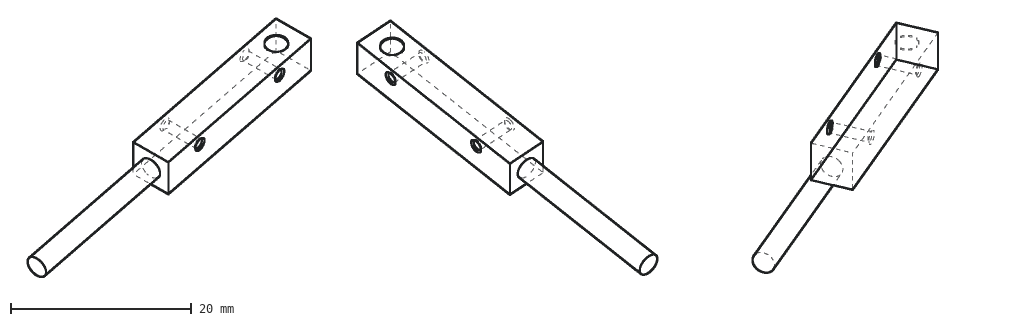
import cadquery as cq

total_length = 45.0
body_side = 5.0
body_length = 25.0
cable_diameter = 2.65

recess_diameter = 2.65
recess_depth = 0.2
recess_from_end = 3.0

hole_diameter = 1.2
hole_mouth_diameter = 1.6
first_hole_from_end = 5.5
hole_spacing = 14.0
hole_below_top = 1.5

cable_length = total_length - body_length
half_side = body_side / 2
hole_chamfer = (hole_mouth_diameter - hole_diameter) / 2


def make_body():
    """Square bar with its cable end at Y = 0 and its sensing end at +Y."""
    return cq.Workplane("XY").box(body_side, body_length, body_side, centered=(True, False, True))


def make_cable():
    """Round cable leaving the middle of the body toward -Y."""
    return cq.Workplane("XZ").circle(cable_diameter / 2).extrude(cable_length)


def make_recess():
    """Shallow disc cut into the top near the sensing end."""
    return (
        cq.Workplane("XY", origin=(0, body_length - recess_from_end, half_side))
        .circle(recess_diameter / 2)
        .extrude(-recess_depth)
    )


def make_cross_hole(distance_from_end):
    """Through hole along X, widened by a chamfer at both mouths."""
    mouth_radius = hole_mouth_diameter / 2
    bore_radius = hole_diameter / 2
    bore_half_length = half_side - hole_chamfer
    profile = [
        (-half_side, 0),
        (-half_side, mouth_radius),
        (-bore_half_length, bore_radius),
        (bore_half_length, bore_radius),
        (half_side, mouth_radius),
        (half_side, 0),
    ]
    hole = cq.Workplane("XY").polyline(profile).close().revolve(360, (0, 0), (1, 0))
    return hole.translate((0, body_length - distance_from_end, half_side - hole_below_top))


result = make_body().union(make_cable()).cut(make_recess())
for hole_position in (first_hole_from_end, first_hole_from_end + hole_spacing):
    result = result.cut(make_cross_hole(hole_position))